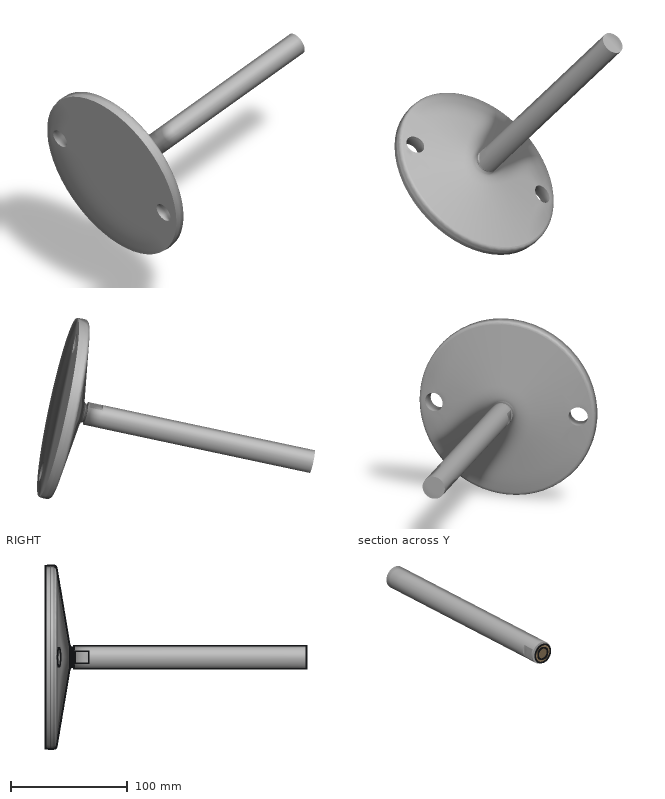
import cadquery as cq
import math

total_height = 224.0
foot_radius = 158.0 / 2

underside_radius = 78.5
rim_edge_height = 4.0
rim_top_radius = 78.6
cone_edge_height = 9.5
shoulder_radius = 3.0
cone_top_radius = 10.5
cone_top_height = 20.8

groove_radius = 8.0
groove_height = 22.2
lip_radius = 8.5
lip_bottom = 22.5
lip_top = 22.8
taper_base_radius = 7.8
taper_base_height = 23.3
taper_top_radius = 6.7
collar_height = 24.5

hole_diameter = 16.5
hole_offset = 62.7
hole_cutter_length = 67.2
cone_slope = math.degrees(
    math.atan2(cone_top_height - cone_edge_height, rim_top_radius - cone_top_radius)
)

stem_diameter = 20.0
stem_bottom = collar_height
spigot_radius = 5.0
spigot_bottom = 15.7
flats_width = 17.0
flats_bottom = 25.8
flats_top = 37.2


def make_foot():
    """Turned foot with a lipped collar, a blind socket and two sloping mounting holes."""
    foot = (
        cq.Workplane("XY")
        .moveTo(0, 0)
        .lineTo(underside_radius, 0)
        .lineTo(foot_radius, rim_edge_height)
        .lineTo(rim_top_radius, cone_edge_height)
        .lineTo(cone_top_radius, cone_top_height)
        .lineTo(groove_radius, groove_height)
        .lineTo(lip_radius, lip_bottom)
        .lineTo(lip_radius, lip_top)
        .lineTo(taper_base_radius, taper_base_height)
        .lineTo(taper_top_radius, collar_height)
        .lineTo(spigot_radius, collar_height)
        .lineTo(spigot_radius, spigot_bottom)
        .lineTo(0, spigot_bottom)
        .close()
        .revolve(360, (0, 0, 0), (0, 1, 0))
    )
    selection_margin = 0.2
    shoulder_edge = cq.selectors.BoxSelector(
        (-foot_radius, cone_edge_height - selection_margin, -foot_radius),
        (foot_radius, cone_edge_height + selection_margin, foot_radius),
    )
    foot = foot.edges(shoulder_edge).fillet(shoulder_radius)
    for side in (-1, 1):
        foot = foot.cut(make_hole_cutter(side))
    return foot


def make_hole_cutter(side):
    """Cylinder through the underside hole centre, leaning outward towards +Y."""
    slope = math.radians(cone_slope)
    axis = cq.Vector(side * math.sin(slope), math.cos(slope), 0)
    centre = cq.Vector(side * hole_offset, 0, 0)
    start = centre - axis * (hole_cutter_length / 2)
    return cq.Workplane(
        cq.Solid.makeCylinder(hole_diameter / 2, hole_cutter_length, start, axis)
    )


def make_stem():
    """Round stem, with a spigot below and flats on the -X and +X sides."""
    stem_radius = stem_diameter / 2
    stem = (
        cq.Workplane("XY")
        .moveTo(0, spigot_bottom)
        .lineTo(spigot_radius, spigot_bottom)
        .lineTo(spigot_radius, stem_bottom)
        .lineTo(stem_radius, stem_bottom)
        .lineTo(stem_radius, total_height)
        .lineTo(0, total_height)
        .close()
        .revolve(360, (0, 0, 0), (0, 1, 0))
    )
    flats_length = flats_top - flats_bottom
    for side in (-1, 1):
        flat_cutter = cq.Workplane("XY").box(stem_diameter, flats_length, stem_diameter)
        flat_x = side * (flats_width + stem_diameter) / 2
        stem = stem.cut(flat_cutter.translate((flat_x, flats_bottom + flats_length / 2, 0)))
    return stem


foot = make_foot()
stem = make_stem()

result = cq.Compound.makeCompound([foot.val(), stem.val()])